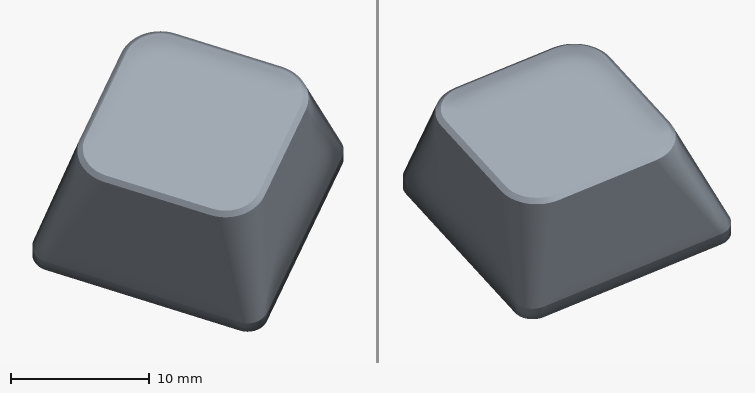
import cadquery as cq

base_side = 18.0
base_corner_radius = 1.5
skirt_height = 1.0

total_height = 9.0
shoulder_side = 14.22
shoulder_corner_radius = 3.0
shoulder_shift_y = 0.97

rim_height = 0.27
rim_width = 0.4
shoulder_z = total_height - rim_height
top_side = shoulder_side - 2 * rim_width
top_corner_radius = shoulder_corner_radius - rim_width


def rounded_square(side, corner_radius):
    return cq.Sketch().rect(side, side).vertices().fillet(corner_radius)


def tapered_block(lower, upper, z_lower, z_upper, lower_shift_y, upper_shift_y):
    """Straight-walled loft between two horizontal outlines."""
    return (
        cq.Workplane("XY")
        .placeSketch(
            lower.moved(cq.Location(cq.Vector(0, lower_shift_y, z_lower))),
            upper.moved(cq.Location(cq.Vector(0, upper_shift_y, z_upper))),
        )
        .loft(ruled=True)
    )


base_outline = rounded_square(base_side, base_corner_radius)
shoulder_outline = rounded_square(shoulder_side, shoulder_corner_radius)
top_outline = rounded_square(top_side, top_corner_radius)

skirt = cq.Workplane("XY").placeSketch(base_outline).extrude(skirt_height)
body = tapered_block(base_outline, shoulder_outline, skirt_height, shoulder_z, 0, shoulder_shift_y)
rim = tapered_block(
    shoulder_outline, top_outline, shoulder_z, total_height, shoulder_shift_y, shoulder_shift_y
)

result = skirt.union(body).union(rim)